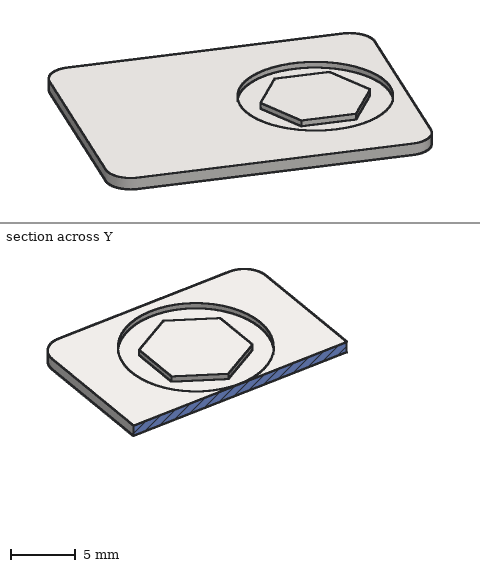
import cadquery as cq
import math

width = 20.0
length = 26.0
thickness = 1.0
corner_radius = 2.0

recess_diameter = 12.0
recess_depth = 0.5
recess_center_y = 6.0
hex_across_flats = 7.6
hex_across_corners = hex_across_flats / math.cos(math.radians(30))

plate = (
    cq.Workplane("XY")
    .rect(width, length)
    .extrude(thickness)
    .edges("|Z")
    .fillet(corner_radius)
)

recess = (
    cq.Workplane("XY", origin=(0, recess_center_y, thickness - recess_depth))
    .circle(recess_diameter / 2)
    .extrude(recess_depth)
)

hex_boss = (
    cq.Workplane("XY", origin=(0, recess_center_y, thickness - recess_depth))
    .transformed(rotate=(0, 0, 90))
    .polygon(6, hex_across_corners)
    .extrude(recess_depth)
)

result = plate.cut(recess.cut(hex_boss))